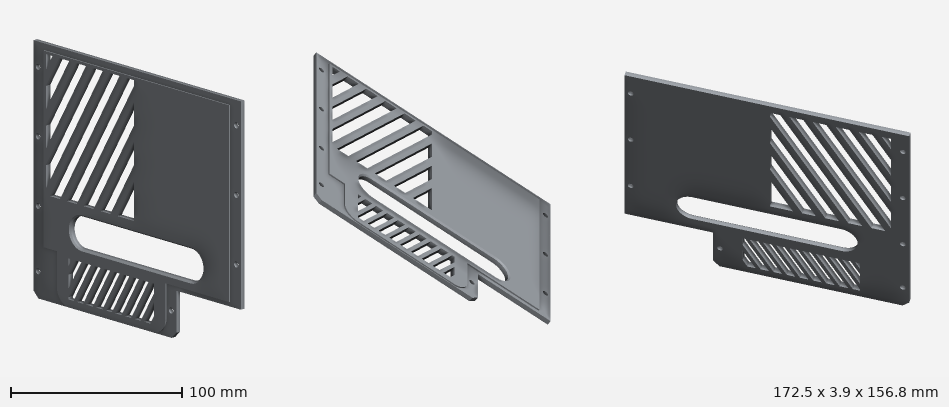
import cadquery as cq
import math


WIDTH = 172.5
HEIGHT = 156.8
PLATE_THICKNESS = 3.0
LEFT = -WIDTH / 2
RIGHT = WIDTH / 2
BOTTOM = -HEIGHT / 2
TOP = HEIGHT / 2
TONGUE_WIDTH = 118.9
TONGUE_DROP = 29.7
TONGUE_RIGHT = LEFT + TONGUE_WIDTH
STEP_Z = BOTTOM + TONGUE_DROP
CORNER_CHAMFER = 4.0

RAISE = 0.9
RAISED_SIDE_MARGIN = 9.0
RAISED_TOP_MARGIN = 4.1
RAISED_STEP_MARGIN = 3.0
RAISED_BOTTOM_MARGIN = 0.5
RAISED_TONGUE_LEFT_MARGIN = 20.4
RAISED_TONGUE_RIGHT_MARGIN = 8.3
RAISED_CORNER_RADIUS = 10.0

THICKNESS = PLATE_THICKNESS + RAISE
BACK_Y = THICKNESS / 2
PLATE_FRONT_Y = BACK_Y - PLATE_THICKNESS
FRONT_Y = -THICKNESS / 2

HOLE_DIAMETER = 3.6
HOLE_INSET = 3.8
TONGUE_HOLE_INSET = 4.3
SIDE_HOLE_COUNT = 3
SIDE_HOLE_PITCH = 42.5
TOP_HOLE_DROP = 15.5
TONGUE_HOLE_RISE = 16.5

SLOT_LENGTH = 110.1
SLOT_HEIGHT = 20.0
SLOT_Z = -30.4
SLOT_CHAMFER = 1.0
CHAMFER_ANGLE = 45.0

SLAT_ANGLE = 30.0
UPPER_VENT = dict(
    left=-75.2, top=72.5, width=73.3, height=86.0,
    first_slat=5.5, slat_width=5.7, slat_span=97.8, slat_count=8,
)
LOWER_VENT = dict(
    left=-56.5, top=-48.1, width=71.1, height=25.0,
    first_slat=2.8, slat_width=3.0, slat_span=79.9, slat_count=11,
)

FRAME_WIDTH = 15.5
FRAME_HEIGHT = 38.8
FRAME_X = 66.6
FRAME_Z = -24.5
INSERT_WIDTH = 9.7
INSERT_HEIGHT = 25.0
INSERT_Z = -23.6


def front_plane(y):
    """Sketch plane at depth y, with local X along X and local Y along Z; extrudes toward -Y."""
    return cq.Workplane("XZ", origin=(0, y, 0))


def block(x, z, width, height):
    """Full-thickness block centred at (x, z)."""
    return front_plane(BACK_Y).center(x, z).rect(width, height).extrude(THICKNESS)


def make_plate():
    outline = [
        (LEFT, TOP),
        (RIGHT, TOP),
        (RIGHT, STEP_Z),
        (TONGUE_RIGHT, STEP_Z),
        (TONGUE_RIGHT, BOTTOM + CORNER_CHAMFER),
        (TONGUE_RIGHT - CORNER_CHAMFER, BOTTOM),
        (LEFT + CORNER_CHAMFER, BOTTOM),
        (LEFT, BOTTOM + CORNER_CHAMFER),
    ]
    return front_plane(BACK_Y).polyline(outline).close().extrude(PLATE_THICKNESS)


def make_raised_face():
    left = LEFT + RAISED_SIDE_MARGIN
    right = RIGHT - RAISED_SIDE_MARGIN
    top = TOP - RAISED_TOP_MARGIN
    step = STEP_Z + RAISED_STEP_MARGIN
    bottom = BOTTOM + RAISED_BOTTOM_MARGIN
    tongue_left = LEFT + RAISED_TONGUE_LEFT_MARGIN
    tongue_right = TONGUE_RIGHT - RAISED_TONGUE_RIGHT_MARGIN
    radius = RAISED_CORNER_RADIUS
    return (
        front_plane(PLATE_FRONT_Y)
        .moveTo(left, top)
        .lineTo(right, top)
        .lineTo(right, step)
        .lineTo(tongue_right, step)
        .lineTo(tongue_right, bottom + radius)
        .radiusArc((tongue_right - radius, bottom), radius)
        .lineTo(tongue_left + radius, bottom)
        .radiusArc((tongue_left, bottom + radius), radius)
        .lineTo(tongue_left, step)
        .lineTo(left, step)
        .close()
        .extrude(RAISE)
    )


def make_screw_holes():
    side_x = RIGHT - HOLE_INSET
    tongue_z = BOTTOM + TONGUE_HOLE_RISE
    centres = [(-side_x, tongue_z), (TONGUE_RIGHT - TONGUE_HOLE_INSET, tongue_z)]
    for row in range(SIDE_HOLE_COUNT):
        z = TOP - TOP_HOLE_DROP - row * SIDE_HOLE_PITCH
        centres += [(-side_x, z), (side_x, z)]
    return front_plane(BACK_Y).pushPoints(centres).circle(HOLE_DIAMETER / 2).extrude(THICKNESS)


def make_slot():
    """Handle slot, flared by a chamfer at the raised face."""
    straight = front_plane(BACK_Y).center(0, SLOT_Z).slot2D(SLOT_LENGTH, SLOT_HEIGHT).extrude(THICKNESS)
    flare = 2 * SLOT_CHAMFER
    mouth = (
        front_plane(FRONT_Y)
        .center(0, SLOT_Z)
        .slot2D(SLOT_LENGTH + flare, SLOT_HEIGHT + flare)
        .extrude(-SLOT_CHAMFER, taper=CHAMFER_ANGLE)
    )
    return straight.union(mouth)


def make_vent(left, top, width, height, first_slat, slat_width, slat_span, slat_count):
    """Openings of one vent: a rectangle less its parallel slanted slats.

    Along the line of the top edge, first_slat runs from the vent's left side to the first slat,
    and slat_span from the first slat to the last.
    """
    opening = block(left + width / 2, top - height / 2, width, height)
    lean = height * math.tan(math.radians(SLAT_ANGLE))
    bottom = top - height
    slat_pitch = slat_span / (slat_count - 1)
    for index in range(slat_count):
        x = left + first_slat + index * slat_pitch
        corners = [
            (x, top),
            (x + slat_width, top),
            (x + slat_width - lean, bottom),
            (x - lean, bottom),
        ]
        opening = opening.cut(front_plane(BACK_Y).polyline(corners).close().extrude(THICKNESS))
    return opening


frame_block = block(FRAME_X, FRAME_Z, FRAME_WIDTH, FRAME_HEIGHT)
insert = block(FRAME_X, INSERT_Z, INSERT_WIDTH, INSERT_HEIGHT)
frame = frame_block.cut(insert)

panel = (
    make_plate()
    .union(make_raised_face())
    .cut(make_screw_holes())
    .cut(make_slot())
    .cut(make_vent(**UPPER_VENT))
    .cut(make_vent(**LOWER_VENT))
    .cut(frame_block)
)

result = cq.Compound.makeCompound([panel.val(), frame.val(), insert.val()])